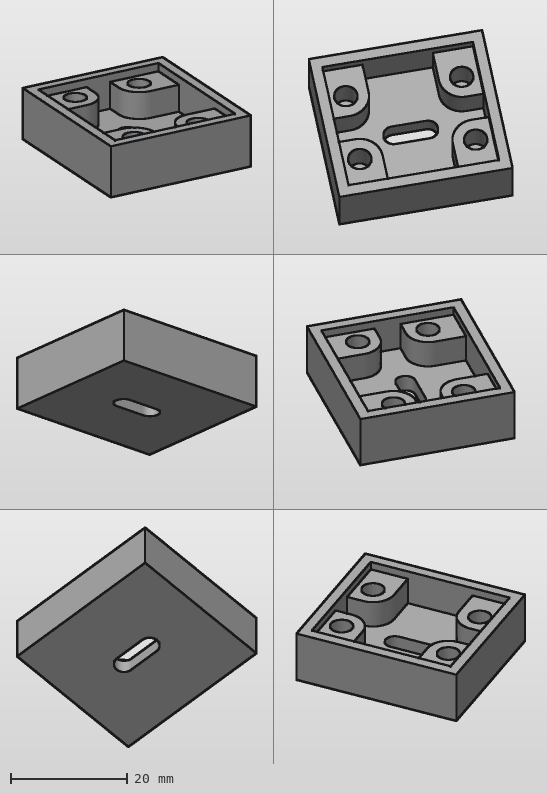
import cadquery as cq

length = 30.4
width = 27.86
height = 9.53
wall = 2.0
floor_thickness = 3.0

post_height = 5.0
post_radius = 4.0
post_spacing_x = 20.32
post_spacing_y = 12.7
screw_hole_diameter = 4.0

slot_length = 9.53
slot_width = 3.5

cavity_length = length - 2 * wall
cavity_width = width - 2 * wall
post_x = post_spacing_x / 2
post_y = post_spacing_y / 2
post_length = cavity_length / 2 - post_x + post_radius
post_width = cavity_width / 2 - post_y + post_radius


def make_tray():
    """Open-topped box with its underside at Z = 0."""
    box = cq.Workplane("XY").box(length, width, height, centered=(True, True, False))
    cavity = (
        cq.Workplane("XY", origin=(0, 0, floor_thickness))
        .rect(cavity_length, cavity_width)
        .extrude(height - floor_thickness)
    )
    return box.cut(cavity)


def make_post(side_x, side_y):
    """Corner post, rounded about its screw hole on the side facing the middle."""
    center_x = side_x * (cavity_length - post_length) / 2
    center_y = side_y * (cavity_width - post_width) / 2
    inner_edge = ("<X" if side_x > 0 else ">X") + " and " + ("<Y" if side_y > 0 else ">Y")
    return (
        cq.Workplane("XY", origin=(center_x, center_y, floor_thickness))
        .rect(post_length, post_width)
        .extrude(post_height)
        .edges("|Z")
        .edges(inner_edge)
        .fillet(post_radius)
    )


def make_screw_hole(side_x, side_y):
    """Blind hole running from the post top down to the floor."""
    return (
        cq.Workplane("XY", origin=(side_x * post_x, side_y * post_y, floor_thickness))
        .circle(screw_hole_diameter / 2)
        .extrude(post_height)
    )


def make_slot():
    """Round-ended slot through the floor at the middle of the tray."""
    return cq.Workplane("XY").slot2D(slot_length, slot_width).extrude(floor_thickness)


result = make_tray()
for side_x in (-1, 1):
    for side_y in (-1, 1):
        result = result.union(make_post(side_x, side_y))
        result = result.cut(make_screw_hole(side_x, side_y))
result = result.cut(make_slot())